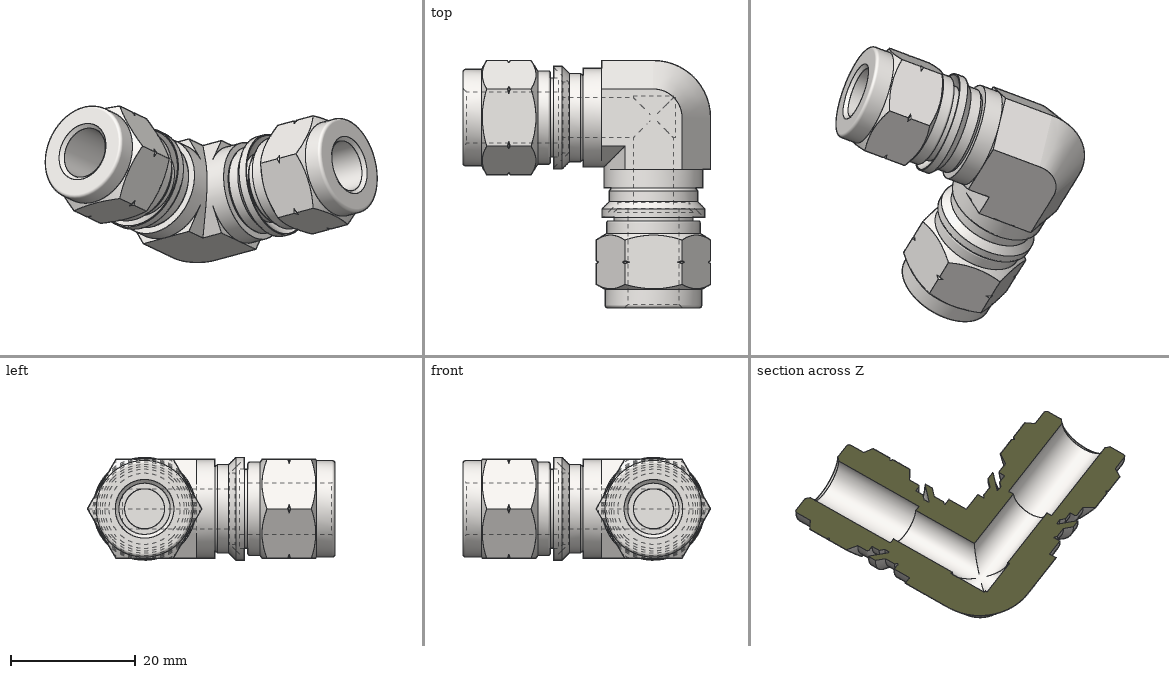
import cadquery as cq
import math

across_flats = 15.875
flat_radius = across_flats / 2
corner_radius = flat_radius / math.cos(math.pi / 6)
half_side = corner_radius / 2

overall_size = 39.68
arm_reach = overall_size - corner_radius
body_reach = 8.3

nose_length = 3.0
nut_end = 12.0
sleeve_end = 14.0
gap_end = 14.55
gap_taper_start = 15.35
flange_rim_end = 15.9
thread_end = 18.8
collar_start = 19.25

nose_radius = 15.5 / 2
sleeve_radius = 15.0 / 2
gap_radius = 12.7 / 2
neck_radius = 11.4 / 2
flange_radius = 16.5 / 2
dish_rim_radius = 16.1 / 2
thread_radius = 14.2 / 2
collar_radius = flat_radius

nose_fillet = 0.5
sleeve_fillet = 0.35
thread_runout_depth = 0.35

front_bevel_slope = math.tan(math.radians(30))
back_bevel_slope = math.tan(math.radians(33))
groove_depth = 0.35
groove_half_width = 0.25

tube_radius = 8.2 / 2
tube_depth = 16.0
tube_entry_chamfer = 0.6
flow_radius = 6.4 / 2
flow_overrun = 0.3


def turned(points):
    """Revolve a profile of (distance from the open end, radius) points about the X arm."""
    profile = [(distance - arm_reach, radius) for distance, radius in points]
    return cq.Workplane("XY").polyline(profile).close().revolve(360, (0, 0, 0), (1, 0, 0))


def x_cylinder(radius, start, end):
    """Cylinder on the X axis between two X positions."""
    return cq.Workplane("YZ").workplane(offset=start).circle(radius).extrude(end - start)


def make_nose():
    nose = x_cylinder(nose_radius, -arm_reach, nose_length - arm_reach)
    return nose.faces("<X").edges().fillet(nose_fillet)


def make_nut():
    """Hexagon with corners in the XY plane, bevelled at both ends, grooved at mid-length."""
    front_bevel = (corner_radius - nose_radius) * front_bevel_slope
    back_bevel = (corner_radius - sleeve_radius) * back_bevel_slope
    front_corner = nose_length + front_bevel
    back_corner = nut_end - back_bevel
    middle = (front_corner + back_corner) / 2

    hexagon = (
        cq.Workplane("YZ")
        .workplane(offset=nose_length - arm_reach)
        .polygon(6, 2 * corner_radius)
        .extrude(nut_end - nose_length)
    )
    envelope = turned([
        (nose_length, 0),
        (nose_length, nose_radius),
        (front_corner, corner_radius),
        (middle - groove_half_width, corner_radius),
        (middle, corner_radius - groove_depth),
        (middle + groove_half_width, corner_radius),
        (back_corner, corner_radius),
        (nut_end, sleeve_radius),
        (nut_end, 0),
    ])
    return hexagon.intersect(envelope)


def make_sleeve():
    sleeve = x_cylinder(sleeve_radius, nut_end - arm_reach, sleeve_end - arm_reach)
    return sleeve.faces(">X").edges().fillet(sleeve_fillet)


def make_flange_and_collar():
    """Tapered neck, flange with a 45 degree dished front and back, thread run-out and collar."""
    flange_end = flange_rim_end + flange_radius - thread_radius
    collar_end = arm_reach - body_reach
    gap_taper_end = gap_taper_start + gap_radius - neck_radius
    dish_end = gap_end + dish_rim_radius - neck_radius
    return turned([
        (sleeve_end, 0),
        (sleeve_end, gap_radius),
        (gap_taper_start, gap_radius),
        (gap_taper_end, neck_radius),
        (dish_end, neck_radius),
        (gap_end, dish_rim_radius),
        (gap_end, flange_radius),
        (flange_rim_end, flange_radius),
        (flange_end, thread_radius),
        (thread_end, thread_radius),
        (collar_start, thread_radius - thread_runout_depth),
        (collar_start, collar_radius),
        (collar_end, collar_radius),
        (collar_end, 0),
    ])


def make_body_leg():
    """Hexagonal leg whose corner on the inside of the elbow is rounded to the collar."""
    tangent_y = -flat_radius * math.cos(math.pi / 6)
    tangent_z = flat_radius * math.sin(math.pi / 6)
    return (
        cq.Workplane("YZ")
        .workplane(offset=-body_reach)
        .moveTo(corner_radius, 0)
        .lineTo(half_side, flat_radius)
        .lineTo(-half_side, flat_radius)
        .lineTo(tangent_y, tangent_z)
        .threePointArc((-flat_radius, 0), (tangent_y, -tangent_z))
        .lineTo(-half_side, -flat_radius)
        .lineTo(half_side, -flat_radius)
        .close()
        .extrude(body_reach)
    )


def make_bend():
    """Outer half of the hexagon swept a quarter turn about the Z axis."""
    half_hexagon = [
        (0, -flat_radius),
        (half_side, -flat_radius),
        (corner_radius, 0),
        (half_side, flat_radius),
        (0, flat_radius),
    ]
    return cq.Workplane("XZ").polyline(half_hexagon).close().revolve(90, (0, 0, 0), (0, 1, 0))


def make_bore():
    """Chamfered tube socket followed by the narrower flow passage."""
    entry_radius = tube_radius + tube_entry_chamfer
    socket = turned([
        (0, 0),
        (0, entry_radius),
        (tube_entry_chamfer, tube_radius),
        (tube_depth, tube_radius),
        (tube_depth, 0),
    ])
    passage = x_cylinder(flow_radius, tube_depth - arm_reach, flow_radius + flow_overrun)
    return socket.union(passage)


def onto_y_arm(shape):
    """Mirror a shape of the X arm across the diagonal plane of the elbow."""
    return shape.mirror((1, -1, 0))


x_arm = make_body_leg().union(make_flange_and_collar())
x_arm = x_arm.union(make_sleeve()).union(make_nut()).union(make_nose())
bore = make_bore()

elbow = x_arm.union(onto_y_arm(x_arm)).union(make_bend())
result = elbow.cut(bore).cut(onto_y_arm(bore))